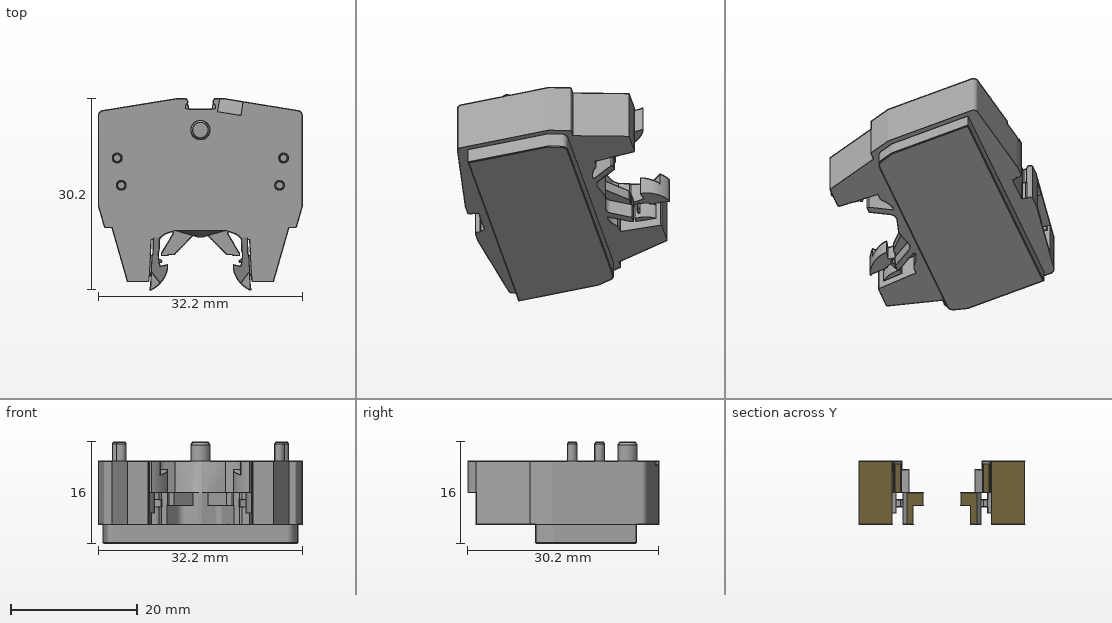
import cadquery as cq
import math

HOUSING_TOP = 10.0
SPLIT_LEVEL = HOUSING_TOP / 2
PIN_LENGTH = 3.0
PLATE_DEPTH = 3.0

HALF_WIDTH = 16.1
BACK = 28.88
BACK_FLAT_HALF = 3.8
SIDE_BACK = 26.9
SIDE_FRONT = 11.9
SHOULDER = 8.53
SHOULDER_OUTER = 15.15
SHOULDER_INNER = 13.97
LEG_OUTER = 11.53
LEG_INNER = 8.1
BACK_CORNER_RADIUS = 0.8
SIDE_BEND_RADIUS = 0.8
SHOULDER_RADIUS = 0.3
LEG_CORNER_CHAMFER = 0.15

BAY_CORNER = (-7.75, 6.63)
BAY_BACK = 8.08
BAY_FLAT_HALF = 4.0
RIDGE_TIP = (-0.3, 7.02)
RIDGE_KNEE = (-1.2, 7.28)
FRONT_MARGIN = 1.6

ARM_ROOT = 6.92
ARM_SLOPE = 0.31
TAB_BACK = (-7.75, 1.58)
TAB_FRONT = (-6.38, -0.23)
LUG_BOTTOM = 1.77
NIB_BOTTOM = 2.77
NIB_TOP = 3.93

STRUT_SHELF_BOTTOM = 2.95
STRUT_FILLET = 1.1

PLATE_HALF_WIDTH = 15.4
PLATE_BACK = 25.3
PLATE_SIDE_FRONT = 12.27
PLATE_FRONT = 9.4
PLATE_FRONT_HALF = 14.55
PLATE_FRONT_RADIUS = 1.1
PLATE_EDGE_CHAMFER = 0.13

CENTRE_PIN = (0, 23.92, 1.5, 0.3, 0.45)
SMALL_PIN_CENTRES = [(13.15, 19.5), (12.5, 15.2)]
SMALL_PIN_RADIUS = 0.77
SMALL_PIN_CHAMFER = (0.2, 0.32)

NOTCH_FLOOR = 27.25
NOTCH_MOUTH_HALF = 2.25
NOTCH_LIP_BACK = (-2.13, 28.05)
NOTCH_LIP_TIP = (-2.0, 28.3)
NOTCH_LIP_FRONT = (-2.1, 28.65)

BACK_ANGLE = math.degrees(math.atan2(BACK - SIDE_BACK, HALF_WIDTH - BACK_FLAT_HALF))
RAMP_INNER_CORNER = (2.7, 26.82)
RAMP_WIDTH = 3.75
RAMP_LENGTH = 2.13
RAMP_DROP = 0.7
POCKET_RIGHT = -4.8
POCKET_STEP = -7.18
POCKET_LEFT = -13.05
POCKET_DEPTH = 1.35
POCKET_WIDE_HEIGHT = 9.0
POCKET_NARROW_HEIGHT = 8.1
STUD_X = -10.95
STUD_RADIUS = 0.32


def prism(points, bottom, top):
    """Extrude a closed polygon between two heights."""
    return cq.Workplane("XY").workplane(offset=bottom).polyline(points).close().extrude(top - bottom)


def both_sides(solid):
    """The solid together with its mirror image across X = 0."""
    return solid.union(solid.mirror("YZ"))


def mirrored_outline(right_half):
    return right_half + [(-x, y) for x, y in reversed(right_half)]


def round_corners(solid, x, y, z, radius):
    """Fillet the vertical edges through (x, y, z) and its mirror point (-x, y, z)."""
    for corner_x in (-x, x):
        edge = cq.selectors.NearestToPointSelector((corner_x, y, z))
        solid = solid.edges(edge).fillet(radius)
    return solid


def housing_block():
    outline = mirrored_outline([
        (LEG_INNER, 0), (LEG_OUTER, 0), (SHOULDER_INNER, SHOULDER), (SHOULDER_OUTER, SHOULDER),
        (HALF_WIDTH, SIDE_FRONT), (HALF_WIDTH, SIDE_BACK), (BACK_FLAT_HALF, BACK),
    ])
    block = prism(outline, 0, HOUSING_TOP)
    block = round_corners(block, HALF_WIDTH, SIDE_BACK, SPLIT_LEVEL, BACK_CORNER_RADIUS)
    block = round_corners(block, HALF_WIDTH, SIDE_FRONT, SPLIT_LEVEL, SIDE_BEND_RADIUS)
    return round_corners(block, SHOULDER_OUTER, SHOULDER, SPLIT_LEVEL, SHOULDER_RADIUS)


def upper_bay():
    half = (
        cq.Workplane("XY").workplane(offset=SPLIT_LEVEL)
        .moveTo(0, -FRONT_MARGIN).lineTo(-LEG_INNER - LEG_CORNER_CHAMFER, -FRONT_MARGIN)
        .lineTo(-LEG_INNER - LEG_CORNER_CHAMFER, 0).lineTo(-LEG_INNER, LEG_CORNER_CHAMFER)
        .lineTo(*BAY_CORNER).lineTo(-6.47, BAY_CORNER[1])
        .threePointArc((-6.1, 7.18), (-5.4, 7.57)).lineTo(-BAY_FLAT_HALF, BAY_BACK)
        .lineTo(0, BAY_BACK).close().extrude(HOUSING_TOP - SPLIT_LEVEL)
    )
    return both_sides(half)


def lower_bay():
    strut_root = (-3.12, 7.82)
    half = (
        cq.Workplane("XY")
        .moveTo(0, -FRONT_MARGIN).lineTo(-LEG_INNER - LEG_CORNER_CHAMFER, -FRONT_MARGIN)
        .lineTo(-LEG_INNER - LEG_CORNER_CHAMFER, 0).lineTo(-LEG_INNER, LEG_CORNER_CHAMFER)
        .lineTo(*BAY_CORNER).lineTo(-6.95, BAY_CORNER[1]).lineTo(-6.55, 6.75)
        .threePointArc((-5.7, 7.45), (-4.6, 7.85))
        .threePointArc((-4.35, 7.75), (-4.38, 7.47))
        .lineTo(-6.18, 4.4).lineTo(-6.18, 4.1).lineTo(-5.3, 4.1)
        .lineTo(*strut_root).lineTo(*RIDGE_TIP).lineTo(0, RIDGE_TIP[1])
        .close().extrude(SPLIT_LEVEL)
    )
    root_edge = cq.selectors.NearestToPointSelector((*strut_root, SPLIT_LEVEL / 2))
    half = half.edges(root_edge).fillet(STRUT_FILLET)
    return both_sides(half)


def strut_shelves():
    """Thicker upper part of the diagonal struts."""
    half = prism(
        [(-5.3, 4.1), (-5.2, 4.1), (-5.0, 4.25), (-4.15, 4.25),
         RIDGE_KNEE, (-3.0, 8.37), (-3.85, 7.25)],
        STRUT_SHELF_BOTTOM, SPLIT_LEVEL,
    )
    return both_sides(half)


def ridge():
    """Ruled transition from the V-shaped lower wall to the straight upper edge."""
    embed = BAY_BACK + 0.65
    front = [(-BAY_FLAT_HALF, BAY_BACK), RIDGE_KNEE, RIDGE_TIP, (0, RIDGE_TIP[1])]
    back = [(0, embed), (-BAY_FLAT_HALF, embed)]
    flat_front = [(x, BAY_BACK) for x, _ in front]
    half = (
        cq.Workplane("XY").workplane(offset=SPLIT_LEVEL).polyline(back + front).close()
        .workplane(offset=HOUSING_TOP - SPLIT_LEVEL).polyline(back + flat_front).close()
        .loft(ruled=True)
    )
    return both_sides(half)


def spring_arms():
    arm = (
        cq.Workplane("XY").workplane(offset=SPLIT_LEVEL)
        .moveTo(-7.45, ARM_ROOT).lineTo(-7.5, 4.38).lineTo(-7.63, 4.12).lineTo(*TAB_BACK)
        .lineTo(-7.9, -0.85).lineTo(-8.02, -1.3).lineTo(-7.75, -1.3)
        .threePointArc((-5.92, 0.3), (-5.2, 2.0)).lineTo(-5.2, 2.67)
        .lineTo(-6.38, 2.4).lineTo(-6.6, 3.55).lineTo(-6.63, 4.6).lineTo(-6.5, 4.83)
        .lineTo(-6.47, ARM_ROOT).close().extrude(HOUSING_TOP - SPLIT_LEVEL)
    )
    lug = (
        cq.Workplane("XY").workplane(offset=LUG_BOTTOM)
        .moveTo(-8.08, 0.87).threePointArc((-7.5, 1.93), (-7.2, 3.22)).lineTo(-7.2, 4.12)
        .lineTo(-8.08, 4.12).close().extrude(SPLIT_LEVEL - LUG_BOTTOM)
    )
    nib = prism([(-7.28, 3.55), (-6.57, 3.6), (-6.05, 3.3), (-6.2, 3.0), (-7.28, 3.32)],
                NIB_BOTTOM, NIB_TOP)
    return both_sides(arm.union(lug).union(nib))


def arm_slopes():
    """Material above the sloping arm tops, leaving the full-height tabs."""
    drop_front = -0.65
    reach = ARM_ROOT - drop_front
    wedge = (
        cq.Workplane("YZ").workplane(offset=-LEG_INNER)
        .polyline([(ARM_ROOT, HOUSING_TOP), (drop_front, HOUSING_TOP),
                   (drop_front, HOUSING_TOP - reach * ARM_SLOPE)])
        .close().extrude(LEG_INNER)
    )
    plan = prism([(-7.45, ARM_ROOT), TAB_BACK, TAB_FRONT, (-4.83, TAB_FRONT[1]), (-4.83, ARM_ROOT)],
                 SPLIT_LEVEL, HOUSING_TOP)
    return both_sides(wedge.intersect(plan))


def base_plate():
    outline = mirrored_outline([
        (PLATE_FRONT_HALF, PLATE_FRONT), (PLATE_HALF_WIDTH, PLATE_SIDE_FRONT),
        (PLATE_HALF_WIDTH, PLATE_BACK),
    ])
    plate = prism(outline, -PLATE_DEPTH, 0)
    middle = -PLATE_DEPTH / 2
    plate = round_corners(plate, PLATE_FRONT_HALF, PLATE_FRONT, middle, PLATE_FRONT_RADIUS)
    plate = round_corners(plate, PLATE_HALF_WIDTH, PLATE_SIDE_FRONT, middle, SIDE_BEND_RADIUS)
    return plate.faces("<Z").edges().chamfer(PLATE_EDGE_CHAMFER)


def pin(x, y, radius, chamfer_across, chamfer_along):
    half_profile = [
        (0, 0), (radius, 0), (radius, PIN_LENGTH - chamfer_along),
        (radius - chamfer_across, PIN_LENGTH), (0, PIN_LENGTH),
    ]
    body = cq.Workplane("XZ").polyline(half_profile).close().revolve(360, (0, 0), (0, 1))
    return body.translate((x, y, HOUSING_TOP))


def back_notch():
    """Notch with rounded lips, undercut behind the lips above the split level."""
    def half(floor_half, wall_foot, wall_head, bottom, top):
        return (
            cq.Workplane("XY").workplane(offset=bottom)
            .moveTo(0, NOTCH_FLOOR).lineTo(-floor_half, NOTCH_FLOOR).lineTo(*wall_foot)
            .lineTo(*wall_head).lineTo(*NOTCH_LIP_BACK)
            .threePointArc(NOTCH_LIP_TIP, NOTCH_LIP_FRONT).lineTo(-NOTCH_MOUTH_HALF, BACK)
            .lineTo(0, BACK).close().extrude(top - bottom)
        )

    straight = half(floor_half=1.77, wall_foot=(-1.87, 27.37), wall_head=(-1.9, 27.82),
                    bottom=0, top=SPLIT_LEVEL)
    undercut = half(floor_half=2.22, wall_foot=(-2.35, 27.37), wall_head=(-2.35, 27.82),
                    bottom=SPLIT_LEVEL, top=HOUSING_TOP)
    return both_sides(straight.union(undercut))


def ramp():
    """Shallow ramp falling towards the sloping back face."""
    run = 2 * RAMP_LENGTH
    wedge = (
        cq.Workplane("YZ")
        .polyline([(0, 0), (run, 0), (run, -RAMP_DROP * run / RAMP_LENGTH)])
        .close().extrude(RAMP_WIDTH)
    )
    turned = wedge.rotate((0, 0, 0), (0, 0, 1), -BACK_ANGLE)
    return turned.translate((*RAMP_INNER_CORNER, HOUSING_TOP))


def back_face_y(x):
    """Y of the left sloping back face at a given X."""
    return BACK + (x + BACK_FLAT_HALF) * math.tan(math.radians(BACK_ANGLE))


def label_pocket():
    """Stepped pocket in the left sloping back face, with a small round stud on its floor."""
    def slot(left, right, height):
        length = (right - left) / math.cos(math.radians(BACK_ANGLE))
        box = cq.Workplane("XY").box(length, 2 * POCKET_DEPTH, height, centered=(False, True, True))
        return (
            box.rotate((0, 0, 0), (0, 0, 1), BACK_ANGLE)
            .translate((left, back_face_y(left), SPLIT_LEVEL))
        )

    pocket = slot(POCKET_LEFT, POCKET_STEP, POCKET_WIDE_HEIGHT)
    pocket = pocket.union(slot(POCKET_LEFT, POCKET_RIGHT, POCKET_NARROW_HEIGHT))
    stud = (
        cq.Workplane("XZ").circle(STUD_RADIUS).extrude(2 * POCKET_DEPTH)
        .rotate((0, 0, 0), (0, 0, 1), BACK_ANGLE)
        .translate((STUD_X, back_face_y(STUD_X), SPLIT_LEVEL))
    )
    return pocket.cut(stud)


housing = housing_block().cut(upper_bay()).cut(lower_bay())
housing = housing.union(ridge()).union(strut_shelves()).union(spring_arms())
housing = housing.cut(arm_slopes()).cut(back_notch()).cut(ramp()).cut(label_pocket())

result = housing.union(base_plate()).union(pin(*CENTRE_PIN))
for pin_x, pin_y in SMALL_PIN_CENTRES:
    for side in (-1, 1):
        result = result.union(pin(side * pin_x, pin_y, SMALL_PIN_RADIUS, *SMALL_PIN_CHAMFER))